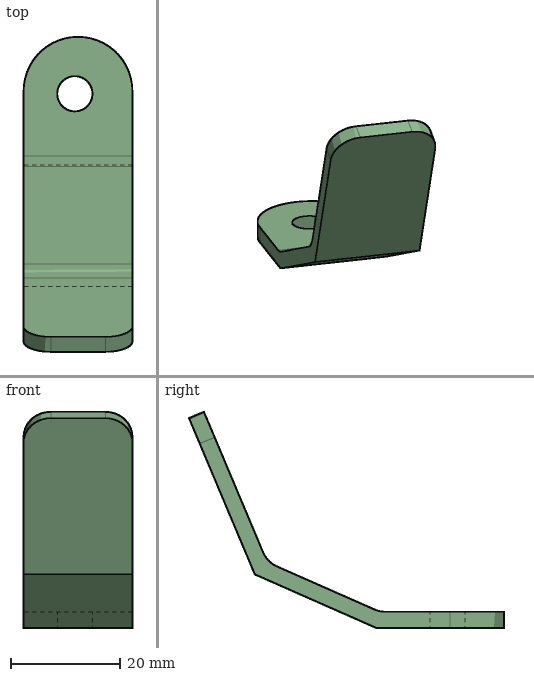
import cadquery as cq
import math

length = 57.75
height = 39.6
width = 20.0
thickness = 3.0
foot_length = 23.45
first_bend_angle = 23.8
second_bend_angle = 67.2
middle_run = 22.25
bend_radius = 4.9
corner_radius = 5.0
hole_diameter = 6.4
hole_offset_x = -0.6
hole_from_tip = 10.45

tip_y = length / 2
first_bend_y = tip_y - foot_length
second_bend_y = first_bend_y - middle_run
second_bend_z = middle_run * math.tan(math.radians(first_bend_angle))
first_slope = math.radians(first_bend_angle)
second_slope = math.radians(second_bend_angle)
end_rise = thickness * math.cos(second_slope)
end_y = -length / 2
end_z = height - end_rise

first_setback = thickness * math.tan(first_slope / 2)
half_turn = (second_slope - first_slope) / 2
mean_slope = (first_slope + second_slope) / 2
inner_reach = thickness / math.cos(half_turn)
first_inner = (first_bend_y + first_setback, thickness)
second_inner = (
    second_bend_y + inner_reach * math.sin(mean_slope),
    second_bend_z + inner_reach * math.cos(mean_slope),
)
inner_end = (end_y + thickness * math.sin(second_slope), height)


def bent_strip():
    """Constant-thickness strip with sharp outer and rounded inner bends."""
    strip = (
        cq.Workplane("YZ")
        .moveTo(tip_y, 0)
        .lineTo(first_bend_y, 0)
        .lineTo(second_bend_y, second_bend_z)
        .lineTo(end_y, end_z)
        .lineTo(*inner_end)
        .lineTo(*second_inner)
        .lineTo(*first_inner)
        .lineTo(tip_y, thickness)
        .close()
        .extrude(width / 2, both=True)
    )
    for inner_y, inner_z in (first_inner, second_inner):
        bend_edge = cq.selectors.NearestToPointSelector((0, inner_y, inner_z))
        strip = strip.edges(bend_edge).fillet(bend_radius)
    return strip


def round_free_corners(strip):
    """Round both corners at the free end of the upper leg."""
    middle_y = (end_y + inner_end[0]) / 2
    middle_z = (end_z + height) / 2
    for side_x in (-width / 2, width / 2):
        corner_edge = cq.selectors.NearestToPointSelector((side_x, middle_y, middle_z))
        strip = strip.edges(corner_edge).fillet(corner_radius)
    return strip


def foot_rounding_cutter():
    """Material outside the semicircular end of the foot."""
    radius = width / 2
    center_y = tip_y - radius
    return (
        cq.Workplane("XY")
        .moveTo(-radius, center_y)
        .threePointArc((0, tip_y), (radius, center_y))
        .lineTo(radius, tip_y + radius)
        .lineTo(-radius, tip_y + radius)
        .close()
        .extrude(thickness)
    )


def foot_hole():
    return (
        cq.Workplane("XY")
        .center(hole_offset_x, tip_y - hole_from_tip)
        .circle(hole_diameter / 2)
        .extrude(thickness)
    )


result = round_free_corners(bent_strip()).cut(foot_rounding_cutter()).cut(foot_hole())